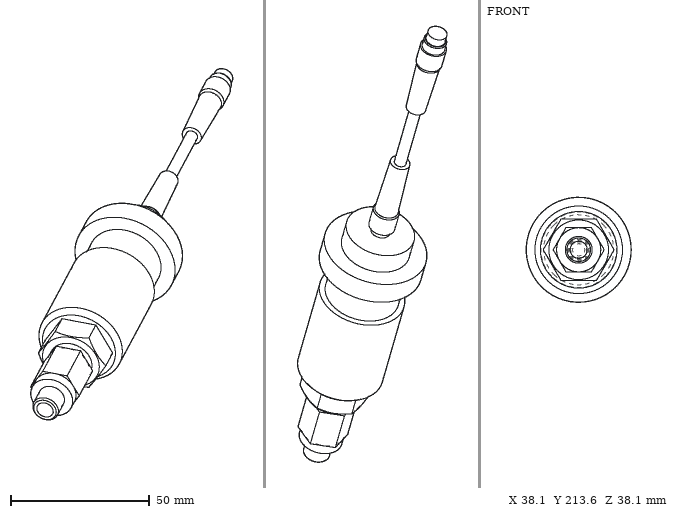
import cadquery as cq
import math


tube_edge_length = 0.7
tube_end = 8.0
nut_start = 11.9
nut_end = 28.0
body_hex_start = 31.0
body_start = 40.6
housing_start = 80.9
flange_start = 95.7
cap_start = 104.7
cap_end = 113.1
socket_start = 115.7
socket_end = 123.5
lower_boot_start = 124.0
cable_start = 147.9
cable_end = 175.6
upper_boot_end = 197.5
plug_ring_start = 198.8
plug_ring_end = 206.5
plug_tip_shoulder = 210.3
plug_end = 213.6

tube_diameter = 9.75
tube_bore_diameter = 6.2
collar_diameter = 16.0
body_diameter = 31.75
housing_diameter = 27.4
flange_diameter = 38.1
cap_diameter = 25.4
neck_diameter = 7.1
ring_diameter = 9.7
groove_diameter = 5.8
boot_large_diameter = 8.7
boot_small_diameter = 7.3
cable_diameter = 4.4
plug_shell_diameter = 8.4
plug_tip_diameter = 7.1

nut_across_flats = 16.0
body_hex_across_flats = 22.225
hex_end_diameter = 21.6
hex_edge_length = 1.4

tube_edge_width = 0.6
body_chamfer = 2.0
plug_chamfer = 0.4
tube_bore_depth = 8.0


def frustum(start, end, start_diameter, end_diameter):
    """Solid of revolution about Y with straight sides between two stations."""
    return (
        cq.Workplane("XY")
        .moveTo(0, start)
        .lineTo(start_diameter / 2, start)
        .lineTo(end_diameter / 2, end)
        .lineTo(0, end)
        .close()
        .revolve(360, (0, 0, 0), (0, 1, 0))
    )


def cylinder(start, end, diameter):
    return frustum(start, end, diameter, diameter)


def corner_diameter(across_flats):
    return across_flats / math.cos(math.pi / 6)


def hexagon(start, end, across_flats):
    """Hexagonal prism along Y with corners on the +X and -X sides."""
    return (
        cq.Workplane("XZ", origin=(0, start, 0))
        .polygon(6, corner_diameter(across_flats))
        .extrude(start - end)
    )


def tube_stub():
    edge_diameter = tube_diameter - 2 * tube_edge_width
    tube = frustum(0, tube_edge_length, edge_diameter, tube_diameter)
    return tube.union(cylinder(tube_edge_length, tube_end, tube_diameter))


def compression_nut():
    collar = cylinder(tube_end, body_hex_start, collar_diameter)
    return collar.union(hexagon(nut_start, nut_end, nut_across_flats))


def body_hexagon():
    """Hexagon whose -Y corners are turned down by a cone."""
    corners = corner_diameter(body_hex_across_flats)
    edge_end = body_hex_start + hex_edge_length
    envelope = frustum(body_hex_start, edge_end, hex_end_diameter, corners)
    envelope = envelope.union(cylinder(edge_end, body_start, corners))
    return hexagon(body_hex_start, body_start, body_hex_across_flats).intersect(envelope)


def body():
    chamfer_end = body_start + body_chamfer
    nose = frustum(body_start, chamfer_end, body_diameter - 2 * body_chamfer, body_diameter)
    return (
        nose.union(cylinder(chamfer_end, housing_start, body_diameter))
        .union(cylinder(housing_start, flange_start, housing_diameter))
        .union(cylinder(flange_start, cap_start, flange_diameter))
        .union(cylinder(cap_start, cap_end, cap_diameter))
    )


def cable():
    return (
        cylinder(cap_end, socket_start, neck_diameter)
        .union(cylinder(socket_start, socket_end, ring_diameter))
        .union(cylinder(socket_end, lower_boot_start, groove_diameter))
        .union(frustum(lower_boot_start, cable_start, boot_large_diameter, boot_small_diameter))
        .union(cylinder(cable_start, cable_end, cable_diameter))
        .union(frustum(cable_end, upper_boot_end, boot_small_diameter, boot_large_diameter))
        .union(cylinder(upper_boot_end, plug_ring_start, groove_diameter))
    )


def plug():
    chamfer_start = plug_tip_shoulder - plug_chamfer
    shoulder_diameter = plug_shell_diameter - 2 * plug_chamfer
    return (
        cylinder(plug_ring_start, plug_ring_end, ring_diameter)
        .union(cylinder(plug_ring_end, chamfer_start, plug_shell_diameter))
        .union(frustum(chamfer_start, plug_tip_shoulder, plug_shell_diameter, shoulder_diameter))
        .union(cylinder(plug_tip_shoulder, plug_end, plug_tip_diameter))
    )


result = tube_stub()
for section in (compression_nut(), body_hexagon(), body(), cable(), plug()):
    result = result.union(section)
result = result.cut(cylinder(0, tube_bore_depth, tube_bore_diameter))